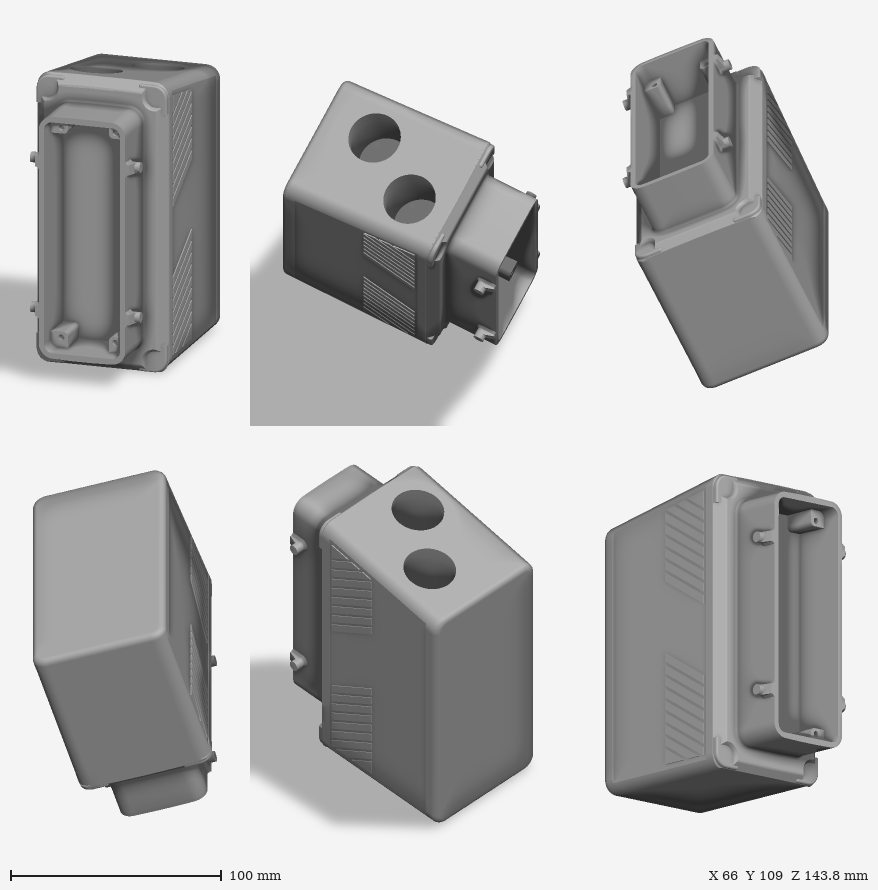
import cadquery as cq
import math


HALF_WIDTH = 33.005
REAR_Y = 108.97
HOUSING_FRONT_Y = 31.6
BOTTOM_Z = -71.35
TOP_Z = BOTTOM_Z + 143.75
TOP_SLOPE = math.radians(10)
SIDE_RADIUS = 7.0
REAR_RADIUS = 3.0

PANEL_DEPTH = 0.5
PANEL_FRONT_Y = 36.0
PANEL_REAR_Y = 101.9
GRIP_FRONT_Y = 37.7
GRIP_REAR_Y = 64.9
GRIP_BOTTOM_Z = -64.5
GRIP_TOP_REAR_Z = 59.7
STRIPE_ANGLE = math.radians(30)
STRIPE_COUNT = 9
STRIPE_PITCH = 5.85
STRIPE_HEIGHT = 4.2
UPPER_STRIPES_Z = 24.95
LOWER_STRIPES_Z = -9.9

ENTRY_DIAMETER = 25.2
ENTRY_DEPTH = 32.0
ENTRY_CENTRES = ((10.4, 81.5), (-10.4, 52.0))

FLANGE_FACE_Y = 26.6
FLANGE_HALF_WIDTH = 32.7
FLANGE_HALF_HEIGHT = 72.5
FLANGE_CORNER_RADIUS = 6.5
FLANGE_BOW = 0.6
FLANGE_CHAMFER = 4.6
FLANGE_EDGE_RADIUS = 1.5

PAD_HALF_HEIGHT = 71.2
PAD_FACE_Y = 28.5
PAD_TONGUE_X = 18.6
PAD_TONGUE_Z = 57.3
PAD_EDGE_RADIUS = 1.0
POCKET_X = 22.3
POCKET_Z = 60.5
POCKET_RADIUS = 4.8
POCKET_SLOPE = 36.0
POCKET_OVERHANG = 20.0

COLLAR_HALF_WIDTH = 21.65
COLLAR_HALF_HEIGHT = 60.3
COLLAR_CORNER_RADIUS = 7.0
COLLAR_BOW = 0.6
COLLAR_ROOT_RADIUS = 1.3

CAVITY_DEPTH = 26.1
MOUTH_HALF_WIDTH = 19.0
MOUTH_HALF_HEIGHT = 57.3
FLOOR_HALF_WIDTH = 18.1
FLOOR_HALF_HEIGHT = 57.0
CAVITY_RADIUS = 4.0

POST_FRONT_Y = 9.4
POST_INNER_X = 10.3
POST_INNER_Z = 49.2
POST_RADIUS = 2.2
SCREW_X = 13.5
SCREW_Z = 52.0
SCREW_DIAMETER = 2.9
SCREW_DEPTH = 10.0

PEG_Y = 6.3
PEG_Z = 37.2
PEG_RADIUS = 2.55
PEG_TIP_X = 27.45
RIB_MOUTH_X = 23.6
RIB_TOP_X = 25.1
RIB_TOP_Y = 5.0
RIB_CREST_X = 26.2
RIB_HALF_HEIGHT = 2.5
BASE_HALF_HEIGHT = 3.6
BASE_TOP_X = 22.9

SIDES = (-1, 1)
CORNERS = [(sx, sz) for sx in SIDES for sz in SIDES]


def box_between(x0, x1, y0, y1, z0, z1):
    """Axis-aligned box given by two opposite corners in any order."""
    size = (abs(x1 - x0), abs(y1 - y0), abs(z1 - z0))
    return cq.Workplane().box(*size).translate(((x0 + x1) / 2, (y0 + y1) / 2, (z0 + z1) / 2))


def plane_at(y):
    """XZ plane at the given Y, extruding toward -Y."""
    return cq.Workplane("XZ", origin=(0, y, 0))


def bowed_block(half_width, half_height, bow, radius, rear_y, front_y):
    """Block along Y whose top and bottom bulge outward by `bow`."""
    side = half_height - bow
    outline = (
        plane_at(rear_y)
        .moveTo(-half_width, -side)
        .threePointArc((0, -half_height), (half_width, -side))
        .lineTo(half_width, side)
        .threePointArc((0, half_height), (-half_width, side))
        .close()
    )
    return outline.extrude(rear_y - front_y).edges("|Y").fillet(radius)


def top_z(y):
    """Height of the sloped top at a given Y."""
    return TOP_Z - (y - HOUSING_FRONT_Y) * math.tan(TOP_SLOPE)


def make_housing():
    outline = [
        (HOUSING_FRONT_Y, BOTTOM_Z),
        (REAR_Y, BOTTOM_Z),
        (REAR_Y, top_z(REAR_Y)),
        (HOUSING_FRONT_Y, TOP_Z),
    ]
    block = cq.Workplane("YZ").polyline(outline).close().extrude(HALF_WIDTH, both=True)
    block = block.edges("not(|X or <Y or >Y)").fillet(SIDE_RADIUS)
    return block.faces(">Y").edges().fillet(REAR_RADIUS)


def stripe(rear_z0, rear_z1):
    """Slanted bar across the grip area, given by its Z range at the rear edge."""
    drop = (GRIP_REAR_Y - GRIP_FRONT_Y) * math.tan(STRIPE_ANGLE)
    corners = [
        (GRIP_REAR_Y, rear_z0),
        (GRIP_REAR_Y, rear_z1),
        (GRIP_FRONT_Y, rear_z1 - drop),
        (GRIP_FRONT_Y, rear_z0 - drop),
    ]
    return cq.Workplane("YZ").polyline(corners).close().extrude(HALF_WIDTH, both=True)


def make_grip_stripes():
    """Both stripe groups; the outermost stripe of each fills the grip corner."""
    top_rise = (GRIP_REAR_Y - GRIP_FRONT_Y) * math.tan(TOP_SLOPE)
    area = (
        cq.Workplane("YZ")
        .polyline([
            (GRIP_REAR_Y, GRIP_BOTTOM_Z),
            (GRIP_REAR_Y, GRIP_TOP_REAR_Z),
            (GRIP_FRONT_Y, GRIP_TOP_REAR_Z + top_rise),
            (GRIP_FRONT_Y, GRIP_BOTTOM_Z),
        ])
        .close()
        .extrude(HALF_WIDTH, both=True)
    )
    bars = cq.Workplane()
    for i in range(STRIPE_COUNT):
        height = STRIPE_HEIGHT
        if i == STRIPE_COUNT - 1:
            height += 2 * STRIPE_PITCH
        upper = UPPER_STRIPES_Z + i * STRIPE_PITCH
        lower = LOWER_STRIPES_Z - i * STRIPE_PITCH
        bars = bars.add(stripe(upper, upper + height)).add(stripe(lower - height, lower))
    return bars.combine().intersect(area)


def cut_side_panels(body):
    stripes = make_grip_stripes()
    for side in SIDES:
        slab = box_between(
            side * (HALF_WIDTH - PANEL_DEPTH), side * HALF_WIDTH,
            PANEL_FRONT_Y, PANEL_REAR_Y,
            BOTTOM_Z, TOP_Z,
        )
        body = body.cut(slab.cut(stripes))
    return body


def cut_cable_entries(body):
    normal = cq.Vector(0, math.sin(TOP_SLOPE), math.cos(TOP_SLOPE))
    for x, y in ENTRY_CENTRES:
        centre = cq.Vector(x, y, top_z(y))
        drill = cq.Solid.makeCylinder(
            ENTRY_DIAMETER / 2, 2 * ENTRY_DEPTH, centre - normal * ENTRY_DEPTH, normal
        )
        body = body.cut(cq.Workplane(drill))
    return body


def make_flange():
    """Chamfered flange, trimmed to the housing height, with a sloped-edge pocket in each corner."""
    flange = bowed_block(
        FLANGE_HALF_WIDTH, FLANGE_HALF_HEIGHT, FLANGE_BOW, FLANGE_CORNER_RADIUS,
        HOUSING_FRONT_Y, FLANGE_FACE_Y,
    )
    flange = flange.faces("<Y").edges().chamfer(FLANGE_CHAMFER)
    flange = flange.faces("<Y").edges().fillet(FLANGE_EDGE_RADIUS)
    housing_height = box_between(
        -HALF_WIDTH, HALF_WIDTH, FLANGE_FACE_Y, HOUSING_FRONT_Y, BOTTOM_Z, TOP_Z
    )
    flange = flange.intersect(housing_height)
    for sx, sz in CORNERS:
        pocket = (
            plane_at(PAD_FACE_Y)
            .center(sx * (POCKET_X + POCKET_OVERHANG / 2), sz * (POCKET_Z + POCKET_OVERHANG / 2))
            .sketch()
            .rect(POCKET_OVERHANG, POCKET_OVERHANG)
            .vertices()
            .fillet(POCKET_RADIUS)
            .finalize()
            .extrude(PAD_FACE_Y - FLANGE_FACE_Y, taper=-POCKET_SLOPE)
        )
        flange = flange.cut(pocket)
    return flange


def make_pads():
    """Corner pads whose tongues run a short way along both flange edges."""
    ring = (
        plane_at(HOUSING_FRONT_Y)
        .rect(2 * FLANGE_HALF_WIDTH, 2 * PAD_HALF_HEIGHT)
        .extrude(HOUSING_FRONT_Y - PAD_FACE_Y)
        .edges("|Y")
        .fillet(FLANGE_CORNER_RADIUS)
        .faces("<Y")
        .edges()
        .fillet(PAD_EDGE_RADIUS)
    )
    pads = cq.Workplane()
    for sx, sz in CORNERS:
        corner = box_between(
            sx * PAD_TONGUE_X, sx * HALF_WIDTH,
            PAD_FACE_Y, HOUSING_FRONT_Y,
            sz * PAD_TONGUE_Z, sz * TOP_Z,
        )
        pad = ring.intersect(corner)
        tips = cq.selectors.BoxSelector(
            (sx * (PAD_TONGUE_X - PAD_EDGE_RADIUS), PAD_FACE_Y - PAD_EDGE_RADIUS, 0),
            (sx * (PAD_TONGUE_X + PAD_EDGE_RADIUS), HOUSING_FRONT_Y - PAD_EDGE_RADIUS, sz * TOP_Z),
            boundingbox=True,
        )
        pads = pads.add(pad.edges(tips).edges("|Z").fillet(PAD_EDGE_RADIUS))
    return pads.combine()


def add_collar(body):
    collar = bowed_block(
        COLLAR_HALF_WIDTH, COLLAR_HALF_HEIGHT, COLLAR_BOW, COLLAR_CORNER_RADIUS,
        FLANGE_FACE_Y, 0,
    )
    reach = COLLAR_ROOT_RADIUS
    root = cq.selectors.BoxSelector(
        (-COLLAR_HALF_WIDTH - reach, FLANGE_FACE_Y - reach / 2, -COLLAR_HALF_HEIGHT - reach),
        (COLLAR_HALF_WIDTH + reach, FLANGE_FACE_Y + reach / 2, COLLAR_HALF_HEIGHT + reach),
        boundingbox=True,
    )
    return body.union(collar).edges(root).fillet(COLLAR_ROOT_RADIUS)


def make_cavity():
    """Collar opening with a slight draft from mouth to floor."""
    def outline(half_width, half_height):
        return cq.Sketch().rect(2 * half_width, 2 * half_height).vertices().fillet(CAVITY_RADIUS)

    mouth = outline(MOUTH_HALF_WIDTH, MOUTH_HALF_HEIGHT)
    floor = outline(FLOOR_HALF_WIDTH, FLOOR_HALF_HEIGHT)
    depth = cq.Location(cq.Vector(0, 0, -CAVITY_DEPTH))
    return plane_at(0).placeSketch(mouth, floor.moved(depth)).loft()


def make_posts(cavity):
    """Screw posts filling the cavity corners, each with a blind screw hole."""
    posts = cq.Workplane()
    for sx, sz in CORNERS:
        post = box_between(
            sx * POST_INNER_X, sx * MOUTH_HALF_WIDTH,
            POST_FRONT_Y, CAVITY_DEPTH,
            sz * POST_INNER_Z, sz * MOUTH_HALF_HEIGHT,
        )
        inner_edge = cq.selectors.NearestToPointSelector((0, (POST_FRONT_Y + CAVITY_DEPTH) / 2, 0))
        post = post.edges("|Y").edges(inner_edge).fillet(POST_RADIUS)
        screw = (
            plane_at(POST_FRONT_Y)
            .center(sx * SCREW_X, sz * SCREW_Z)
            .circle(SCREW_DIAMETER / 2)
            .extrude(-SCREW_DEPTH)
        )
        posts = posts.add(post.intersect(cavity).cut(screw))
    return posts.combine()


def make_peg(side, z):
    """Locking peg on its sloped rib, with a flared base on the collar wall."""
    wall = COLLAR_HALF_WIDTH
    rib_outline = [
        (wall, 0),
        (RIB_MOUTH_X, 0),
        (RIB_TOP_X, RIB_TOP_Y),
        (RIB_CREST_X, PEG_Y),
        (wall, PEG_Y),
    ]
    rib = cq.Workplane("XY").polyline(rib_outline).close().extrude(RIB_HALF_HEIGHT, both=True)
    peg = (
        cq.Workplane("YZ", origin=(wall, 0, 0))
        .center(PEG_Y, 0)
        .circle(PEG_RADIUS)
        .extrude(PEG_TIP_X - wall)
    )

    base_height = BASE_TOP_X - wall
    base_slope = math.degrees(math.atan2(BASE_HALF_HEIGHT - RIB_HALF_HEIGHT, base_height))
    base = (
        cq.Workplane("YZ", origin=(wall, 0, 0))
        .slot2D(2 * (PEG_Y + BASE_HALF_HEIGHT), 2 * BASE_HALF_HEIGHT)
        .extrude(base_height, taper=base_slope)
    )
    behind_mouth = box_between(wall, BASE_TOP_X, 0, FLANGE_FACE_Y, -BASE_HALF_HEIGHT, BASE_HALF_HEIGHT)
    lug = rib.union(peg).union(base.intersect(behind_mouth))
    if side < 0:
        lug = lug.mirror("YZ")
    return lug.translate((0, 0, z))


body = make_housing()
body = cut_side_panels(body)
body = cut_cable_entries(body)
body = body.union(make_flange()).union(make_pads())
body = add_collar(body)
cavity = make_cavity()
body = body.cut(cavity).union(make_posts(cavity))
for side in SIDES:
    for z in (-PEG_Z, PEG_Z):
        body = body.union(make_peg(side, z))
result = body